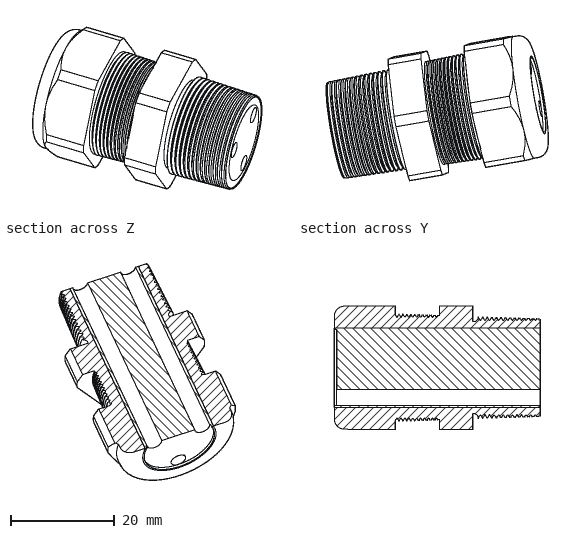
import cadquery as cq
import math

LENGTH = 39.88

HEX_FLATS = 23.9
HEX_CORNERS = 26.5
CAP_END = 11.85
FLANGE_START = 20.35
FLANGE_END = 26.85

DOME_ROUND = 2.05
COLLAR_END = 2.8

GROOVE_HALF_ANGLE = 30.0
CAP_THREAD_RADIUS_START = 10.4
CAP_THREAD_RADIUS_END = 10.1
CAP_THREAD_ROOT = 9.77
CAP_THREAD_FIRST = 12.15
CAP_THREAD_LAST = 19.8
CAP_THREAD_GROOVES = 11
ENTRY_THREAD_START = 27.85
ENTRY_THREAD_RADIUS_START = 9.8
ENTRY_THREAD_RADIUS_END = 9.45
ENTRY_THREAD_ROOT = 9.15
ENTRY_THREAD_FIRST = 28.27
ENTRY_THREAD_LAST = 39.75
ENTRY_THREAD_GROOVES = 14

NECK_RADIUS = 8.95

INSERT_RADIUS = 7.6
DISH_RADIUS = 7.3
DISH_DEPTH = 0.5
WIRE_HOLES = 3
WIRE_HOLE_DIAMETER = 3.05
WIRE_HOLE_CIRCLE_RADIUS = 5.75

COLLAR_RADIUS = HEX_FLATS / 2
CORNER_RADIUS = HEX_CORNERS / 2


def turned(profile):
    """Revolve an XZ profile about the X axis."""
    return profile.close().revolve(360, (0, 0, 0), (1, 0, 0))


def disc(radius, start, end):
    """Solid cylinder on the X axis from start to end."""
    return turned(
        cq.Workplane("XZ").moveTo(start, 0).lineTo(start, radius).lineTo(end, radius).lineTo(end, 0)
    )


def hexagon(start, end):
    """Hexagonal prism with corners on the +Y and -Y sides, turned down to the corner radius."""
    across_sharp_corners = HEX_FLATS / math.cos(math.pi / 6)
    prism = (
        cq.Workplane("YZ", origin=(start, 0, 0))
        .polygon(6, across_sharp_corners)
        .extrude(end - start)
    )
    return prism.intersect(disc(CORNER_RADIUS, start, end))


def cap():
    """Hexagonal cap nut with a 45 degree corner chamfer and a domed front."""
    dome = disc(COLLAR_RADIUS, 0, COLLAR_END).faces("<X").edges().fillet(DOME_ROUND)
    cone_length = CORNER_RADIUS - COLLAR_RADIUS
    chamfer_envelope = turned(
        cq.Workplane("XZ")
        .moveTo(COLLAR_END, 0)
        .lineTo(COLLAR_END, COLLAR_RADIUS)
        .lineTo(COLLAR_END + cone_length, CORNER_RADIUS)
        .lineTo(CAP_END, CORNER_RADIUS)
        .lineTo(CAP_END, 0)
    )
    return dome.union(hexagon(COLLAR_END, CAP_END).intersect(chamfer_envelope))


def cut_thread(shank, outer_radius, root_radius, first, last, count):
    """Cut evenly spaced V-shaped ring grooves whose roots lie from first to last."""
    pitch = (last - first) / (count - 1)
    half_width = (outer_radius - root_radius) * math.tan(math.radians(GROOVE_HALF_ANGLE))
    for i in range(count):
        root_x = first + i * pitch
        groove = turned(
            cq.Workplane("XZ")
            .moveTo(root_x, root_radius)
            .lineTo(root_x + half_width, outer_radius)
            .lineTo(root_x - half_width, outer_radius)
        )
        shank = shank.cut(groove)
    return shank


def cap_thread():
    """Threaded shank between the cap and the flange."""
    shank = turned(
        cq.Workplane("XZ")
        .moveTo(CAP_END, 0)
        .lineTo(CAP_END, CAP_THREAD_RADIUS_START)
        .lineTo(FLANGE_START, CAP_THREAD_RADIUS_END)
        .lineTo(FLANGE_START, 0)
    )
    return cut_thread(
        shank,
        CAP_THREAD_RADIUS_START,
        CAP_THREAD_ROOT,
        CAP_THREAD_FIRST,
        CAP_THREAD_LAST,
        CAP_THREAD_GROOVES,
    )


def entry_thread():
    """Threaded shank on the free end, joined to the flange by a hollow-rounded neck."""
    neck_round = ENTRY_THREAD_RADIUS_START - NECK_RADIUS
    round_start = ENTRY_THREAD_START - neck_round
    arc_offset = neck_round * math.sin(math.pi / 4)
    round_middle = (round_start + arc_offset, ENTRY_THREAD_RADIUS_START - arc_offset)
    shank = turned(
        cq.Workplane("XZ")
        .moveTo(FLANGE_END, 0)
        .lineTo(FLANGE_END, NECK_RADIUS)
        .lineTo(round_start, NECK_RADIUS)
        .threePointArc(round_middle, (ENTRY_THREAD_START, ENTRY_THREAD_RADIUS_START))
        .lineTo(LENGTH, ENTRY_THREAD_RADIUS_END)
        .lineTo(LENGTH, 0)
    )
    return cut_thread(
        shank,
        ENTRY_THREAD_RADIUS_START,
        ENTRY_THREAD_ROOT,
        ENTRY_THREAD_FIRST,
        ENTRY_THREAD_LAST,
        ENTRY_THREAD_GROOVES,
    )


def make_housing():
    """Cap, flange and threads in one piece, bored through for the insert."""
    return (
        cap()
        .union(cap_thread())
        .union(hexagon(FLANGE_START, FLANGE_END))
        .union(entry_thread())
        .cut(disc(INSERT_RADIUS, 0, LENGTH))
    )


def make_insert():
    """Round plug filling the bore, dished at the front, with evenly spaced through holes for wires."""
    plug = disc(INSERT_RADIUS, 0, LENGTH).cut(disc(DISH_RADIUS, 0, DISH_DEPTH))
    wire_holes = (
        cq.Workplane("YZ")
        .polarArray(WIRE_HOLE_CIRCLE_RADIUS, -90, 360, WIRE_HOLES)
        .circle(WIRE_HOLE_DIAMETER / 2)
        .extrude(LENGTH)
    )
    return plug.cut(wire_holes)


housing = make_housing()
insert = make_insert()

result = cq.Compound.makeCompound([housing.solids().val(), insert.solids().val()])